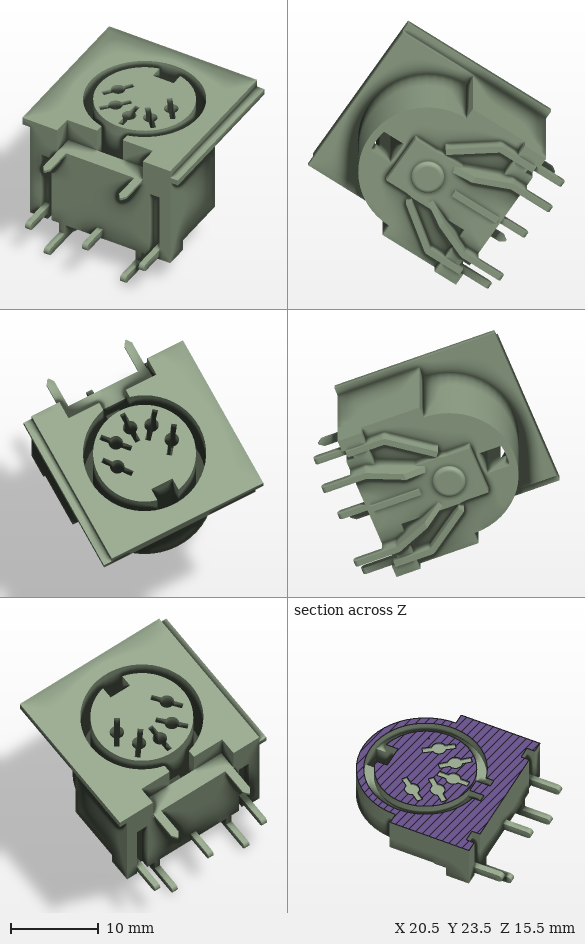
import cadquery as cq
import math

OVERLAP = 0.01

body_half_width = 9.25
front_y = -10.0
back_radius = 7.9
side_bottom_z = -11.9
base_bottom_z = -13.28
foot_back_y = -7.1

plate_back_y = 9.5
plate_thickness = 1.65
lip_thickness = 0.95
lip_width = 1.0

block_back_y = 3.67
block_half_width = 3.0
block_step = 0.15
block_step_back_y = 0.83
block_step_front_y = 0.0
stud_radius = 1.9
stud_height = 0.57
stud_rounding = 0.5

ring_radius = 7.0
core_radius = 5.85
ring_depth = 9.0
neck_half_width = 1.7
key_half_width = 1.36
key_inner_y = 4.18

contact_circle_radius = 3.5
contacts = [(0.0, 90.0), (41.0, 131.0), (-41.0, 49.0), (90.0, 126.4), (-90.0, 53.6)]
contact_diameter = 1.65
slit_length = 3.8
slit_width = 0.65
contact_depth = 8.0

notch_half_width = 5.65
notch_back_y = -7.77
notch_floor_z = -3.15
shield_half_width = 5.5
shield_thickness = 0.3
shield_tip_y = -14.0
shield_arm_width = 1.0
shield_point_length = 0.6
shield_point_width = 0.15
finger_half_width = 0.85
finger_back_y = -5.96
finger_top_z = -5.5

groove_outer_x = 7.84
groove_width = 1.42
groove_depth = 1.0
groove_top_z = -4.35

terminal_thickness = 0.72
pin_tip_y = -13.5
pin_height = 0.95
upper_blade_bottom_z = -13.7
lower_blade_bottom_z = -15.5
upper_blade_front_y = -9.56
bend_outer_radius = 1.0
outer_pin_x = groove_outer_x - terminal_thickness / 2
outer_bend_y = -5.2
outer_bend_angle = 36.4
outer_strip_end_y = 0.25
inner_pin_x = 5.02
inner_bend_y = -8.3
inner_bend_angle = 23.0
inner_strip_end_y = -1.8
inner_slope_y = -4.1
center_strip_end_y = -contact_circle_radius


def box(x_min, x_max, y_min, y_max, z_min, z_max):
    """Box given by its limits."""
    size = (x_max - x_min, y_max - y_min, z_max - z_min)
    return cq.Workplane("XY").box(*size, centered=False).translate((x_min, y_min, z_min))


def mirrored(shape):
    """Copy of a shape on the other side of the YZ plane."""
    return shape.mirror("YZ")


def cylinder(radius, z_top, z_bottom):
    """Cylinder on the socket axis."""
    return cq.Workplane("XY").workplane(offset=z_bottom).circle(radius).extrude(z_top - z_bottom)


def make_housing():
    w = body_half_width
    housing = box(-w, w, front_y, 0, side_bottom_z, 0)
    housing = housing.union(cylinder(back_radius, 0, side_bottom_z))
    housing = housing.union(box(-w, w, front_y, foot_back_y, base_bottom_z, side_bottom_z))
    plate = box(-w, w, front_y, plate_back_y, -plate_thickness, 0)
    upper_lip = box(-w - lip_width, -w, front_y, plate_back_y, -lip_thickness, 0)
    lower_lip = box(w, w + lip_width, front_y, plate_back_y, -plate_thickness, -lip_thickness)
    return housing.union(plate).union(upper_lip).union(lower_lip)


def make_block():
    wide = block_half_width + block_step
    half_outline = [
        (0, foot_back_y),
        (wide, foot_back_y),
        (wide, block_step_front_y),
        (block_half_width, block_step_back_y),
        (block_half_width, block_back_y),
        (0, block_back_y),
    ]
    half = (
        cq.Workplane("XY")
        .workplane(offset=base_bottom_z)
        .polyline(half_outline)
        .close()
        .extrude(side_bottom_z - base_bottom_z)
    )
    stud = cylinder(stud_radius, base_bottom_z, base_bottom_z - stud_height)
    stud = stud.faces("<Z").edges().fillet(stud_rounding)
    return half.union(mirrored(half)).union(stud)


def cut_plug_opening(body):
    ring = cylinder(ring_radius, OVERLAP, -ring_depth).cut(cylinder(core_radius, OVERLAP, -ring_depth))
    neck = box(-neck_half_width, neck_half_width, notch_back_y, 0, -ring_depth, OVERLAP)
    neck = neck.cut(cylinder(core_radius, OVERLAP, -ring_depth))
    key = box(-key_half_width, key_half_width, key_inner_y, ring_radius, side_bottom_z - OVERLAP, OVERLAP)
    key = key.intersect(cylinder(ring_radius, OVERLAP, side_bottom_z - OVERLAP))
    return body.cut(ring).cut(neck).cut(key)


def cut_contact_openings(body):
    for position_angle, slit_angle in contacts:
        angle = math.radians(position_angle)
        x = contact_circle_radius * math.sin(angle)
        y = -contact_circle_radius * math.cos(angle)
        slit = cq.Workplane("XY").rect(slit_length, slit_width).extrude(-contact_depth)
        opening = cq.Workplane("XY").circle(contact_diameter / 2).extrude(-contact_depth).union(slit)
        opening = opening.rotate((0, 0, 0), (0, 0, 1), slit_angle)
        body = body.cut(opening.translate((x, y, 0)))
    return body


def cut_front(body):
    notch = box(-notch_half_width, notch_half_width, front_y, notch_back_y, notch_floor_z, OVERLAP)
    groove = box(
        -groove_outer_x,
        groove_width - groove_outer_x,
        front_y,
        front_y + groove_depth,
        base_bottom_z,
        groove_top_z,
    )
    return body.cut(notch).cut(groove).cut(mirrored(groove))


def make_shield():
    z_bottom = notch_floor_z
    z_top = z_bottom + shield_thickness
    shield = box(-shield_half_width, shield_half_width, front_y, notch_back_y, z_bottom, z_top)
    arm_x = shield_half_width - shield_arm_width / 2
    shoulder_y = shield_tip_y + shield_point_length
    arm_outline = [
        (arm_x - shield_arm_width / 2, front_y),
        (arm_x + shield_arm_width / 2, front_y),
        (arm_x + shield_arm_width / 2, shoulder_y),
        (arm_x + shield_point_width / 2, shield_tip_y),
        (arm_x - shield_point_width / 2, shield_tip_y),
        (arm_x - shield_arm_width / 2, shoulder_y),
    ]
    arm_base = cq.Workplane("XY").workplane(offset=z_bottom)
    arm = arm_base.polyline(arm_outline).close().extrude(shield_thickness)
    finger = box(
        -finger_half_width,
        finger_half_width,
        notch_back_y,
        finger_back_y,
        -ring_depth,
        finger_top_z,
    )
    return [shield.union(arm).union(mirrored(arm)), finger]


def bent_strip(pin_x, bend_y, bend_angle, end_y):
    """Tall prism over a strip at -pin_x that runs toward +Y, then turns toward the axis."""
    angle = math.radians(bend_angle)
    cos_a = math.cos(angle)
    sin_a = math.sin(angle)
    outer_x = -pin_x - terminal_thickness / 2
    inner_x = -pin_x + terminal_thickness / 2
    center_x = outer_x + bend_outer_radius
    inner_radius = bend_outer_radius - terminal_thickness

    def on_bend(radius, turn):
        return (center_x - radius * math.cos(turn), bend_y + radius * math.sin(turn))

    outer_bend_end = on_bend(bend_outer_radius, angle)
    inner_bend_end = on_bend(inner_radius, angle)
    straight = (end_y - outer_bend_end[1]) / cos_a
    outer_end = (outer_bend_end[0] + straight * sin_a, end_y)
    inner_end = (inner_bend_end[0] + straight * sin_a, inner_bend_end[1] + straight * cos_a)
    return (
        cq.Workplane("XY")
        .workplane(offset=lower_blade_bottom_z)
        .moveTo(outer_x, pin_tip_y)
        .lineTo(outer_x, bend_y)
        .threePointArc(on_bend(bend_outer_radius, angle / 2), outer_bend_end)
        .lineTo(*outer_end)
        .lineTo(*inner_end)
        .lineTo(*inner_bend_end)
        .threePointArc(on_bend(inner_radius, angle / 2), (inner_x, bend_y))
        .lineTo(inner_x, pin_tip_y)
        .close()
        .extrude(side_bottom_z - lower_blade_bottom_z)
    )


def side_profile(blade_outline, pin_bottom_z):
    """Prism along X as wide as the housing: the side outline of a blade and its round-ended pin."""
    blade = cq.Workplane("YZ").polyline(blade_outline).close().extrude(body_half_width, both=True)
    radius = pin_height / 2
    pin_top_z = pin_bottom_z + pin_height
    pin = (
        cq.Workplane("YZ")
        .moveTo(front_y + groove_depth, pin_bottom_z)
        .lineTo(pin_tip_y + radius, pin_bottom_z)
        .threePointArc((pin_tip_y, pin_bottom_z + radius), (pin_tip_y + radius, pin_top_z))
        .lineTo(front_y + groove_depth, pin_top_z)
        .close()
        .extrude(body_half_width, both=True)
    )
    return blade.union(pin)


def make_terminals():
    upper_outline = [
        (upper_blade_front_y, side_bottom_z),
        (outer_strip_end_y + terminal_thickness, side_bottom_z),
        (outer_strip_end_y + terminal_thickness, upper_blade_bottom_z),
        (upper_blade_front_y, upper_blade_bottom_z),
    ]
    upper_profile = side_profile(upper_outline, side_bottom_z - pin_height)
    slope_top_y = inner_slope_y + side_bottom_z - lower_blade_bottom_z
    lower_outline = [
        (front_y, side_bottom_z),
        (slope_top_y, side_bottom_z),
        (inner_slope_y, lower_blade_bottom_z),
        (front_y, lower_blade_bottom_z),
    ]
    lower_profile = side_profile(lower_outline, lower_blade_bottom_z)

    outer = bent_strip(outer_pin_x, outer_bend_y, outer_bend_angle, outer_strip_end_y)
    outer = outer.intersect(upper_profile)
    inner = bent_strip(inner_pin_x, inner_bend_y, inner_bend_angle, inner_strip_end_y)
    inner = inner.intersect(lower_profile)
    half = terminal_thickness / 2
    center = box(-half, half, pin_tip_y, center_strip_end_y, lower_blade_bottom_z, side_bottom_z)
    center = center.intersect(upper_profile)
    return [center, outer, mirrored(outer), inner, mirrored(inner)]


body = make_housing().union(make_block())
body = cut_plug_opening(body)
body = cut_contact_openings(body)
body = cut_front(body)
for metal_part in make_shield() + make_terminals():
    body = body.cut(metal_part, clean=False).union(metal_part, clean=False)

result = body